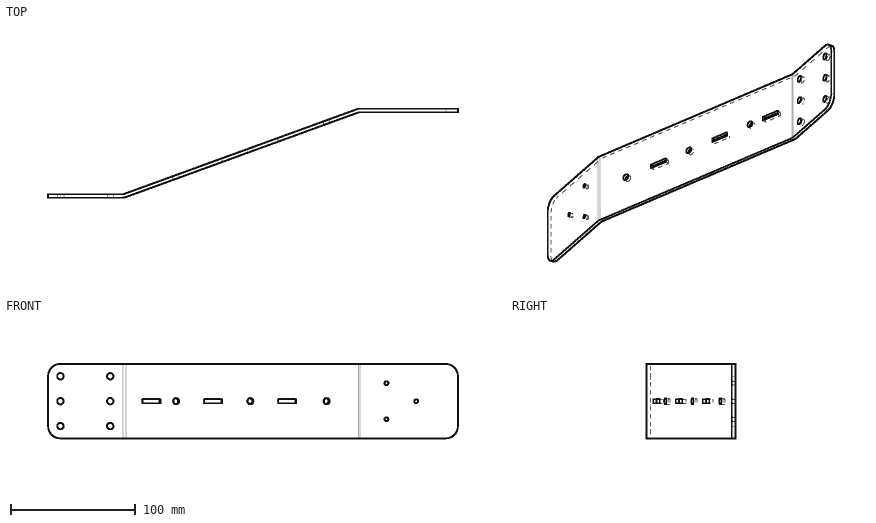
import cadquery as cq
import math

thickness = 3.0
width = 60.0
bend_angle = 20.0
bend_inner_radius = 4.0
bend_outer_radius = bend_inner_radius + thickness
corner_radius = 10.0

lower_length = 60.0
sloped_panel_length = 200.0
upper_panel_length = 80.0

lower_hole_diameter = 5.0
lower_hole_columns = (10.0, 50.0)
lower_hole_rows = (-20.0, 0.0, 20.0)

sloped_hole_diameter = 5.0
sloped_hole_stations = (44.6, 108.0, 173.2)
slot_length = 15.3
slot_height = 3.2
slot_stations = (23.5, 76.2, 139.4)

upper_hole_diameter = 3.0
upper_pair_inset = 57.5
upper_pair_offset = 14.5
upper_single_inset = 33.6

sine = math.sin(math.radians(bend_angle))
cosine = math.cos(math.radians(bend_angle))
half_sine = math.sin(math.radians(bend_angle / 2))
half_cosine = math.cos(math.radians(bend_angle / 2))
bend_setback = bend_outer_radius * math.tan(math.radians(bend_angle / 2))
sloped_length = sloped_panel_length - bend_setback
upper_length = upper_panel_length - bend_setback
bend_radii_sum = bend_inner_radius + bend_outer_radius
upper_start_x = lower_length + sloped_length * cosine + bend_radii_sum * sine
total_length = upper_start_x + upper_length
upper_face_y = sloped_length * sine + bend_radii_sum * (1 - cosine)

lower_bend_center = (lower_length, bend_outer_radius)
upper_bend_center = (upper_start_x, upper_face_y - bend_inner_radius)

lower_corner = (lower_length + bend_setback, 0)


def below(center, radius, sin_value, cos_value):
    """Point on the -Y, +X side of a lower-bend arc at the given angle."""
    return (center[0] + radius * sin_value, center[1] - radius * cos_value)


def above(center, radius, sin_value, cos_value):
    """Point on the +Y, -X side of an upper-bend arc at the given angle."""
    return (center[0] - radius * sin_value, center[1] + radius * cos_value)


def bent_strip():
    """Extrude the bent side profile over the full width, centred on Z = 0."""
    profile = (
        cq.Workplane("XY")
        .workplane(offset=-width / 2)
        .moveTo(0, 0)
        .lineTo(lower_length, 0)
        .threePointArc(
            below(lower_bend_center, bend_outer_radius, half_sine, half_cosine),
            below(lower_bend_center, bend_outer_radius, sine, cosine),
        )
        .lineTo(*above(upper_bend_center, bend_inner_radius, sine, cosine))
        .threePointArc(
            above(upper_bend_center, bend_inner_radius, half_sine, half_cosine),
            (upper_start_x, upper_face_y),
        )
        .lineTo(total_length, upper_face_y)
        .lineTo(total_length, upper_face_y + thickness)
        .lineTo(upper_start_x, upper_face_y + thickness)
        .threePointArc(
            above(upper_bend_center, bend_outer_radius, half_sine, half_cosine),
            above(upper_bend_center, bend_outer_radius, sine, cosine),
        )
        .lineTo(*below(lower_bend_center, bend_inner_radius, sine, cosine))
        .threePointArc(
            below(lower_bend_center, bend_inner_radius, half_sine, half_cosine),
            (lower_length, thickness),
        )
        .lineTo(0, thickness)
        .close()
    )
    return profile.extrude(width)


def panel_plane(origin_x, origin_y, x_direction):
    """Work plane on a panel's -Y face, local x along the panel and local y along Z."""
    along_x, along_y = x_direction
    return cq.Workplane(
        cq.Plane(
            origin=(origin_x, origin_y, 0),
            xDir=(along_x, along_y, 0),
            normal=(along_y, -along_x, 0),
        )
    )


def round_holes(plane, points, diameter):
    """Cutters for round holes through the sheet."""
    return plane.pushPoints(points).circle(diameter / 2).extrude(-thickness)


def lower_cutters():
    plane = panel_plane(0, 0, (1, 0))
    points = [(column, row) for column in lower_hole_columns for row in lower_hole_rows]
    return round_holes(plane, points, lower_hole_diameter)


def sloped_hole_cutters():
    plane = panel_plane(*lower_corner, (cosine, sine))
    points = [(station, 0) for station in sloped_hole_stations]
    return round_holes(plane, points, sloped_hole_diameter)


def slot_cutters():
    plane = panel_plane(*lower_corner, (cosine, sine))
    points = [(station, 0) for station in slot_stations]
    return plane.pushPoints(points).rect(slot_length, slot_height).extrude(-thickness)


def upper_cutters():
    plane = panel_plane(total_length, upper_face_y, (1, 0))
    points = [
        (-upper_pair_inset, upper_pair_offset),
        (-upper_pair_inset, -upper_pair_offset),
        (-upper_single_inset, 0),
    ]
    return round_holes(plane, points, upper_hole_diameter)


strip = bent_strip().edges("|Y").fillet(corner_radius)

result = (
    strip.cut(lower_cutters())
    .cut(sloped_hole_cutters())
    .cut(slot_cutters())
    .cut(upper_cutters())
)